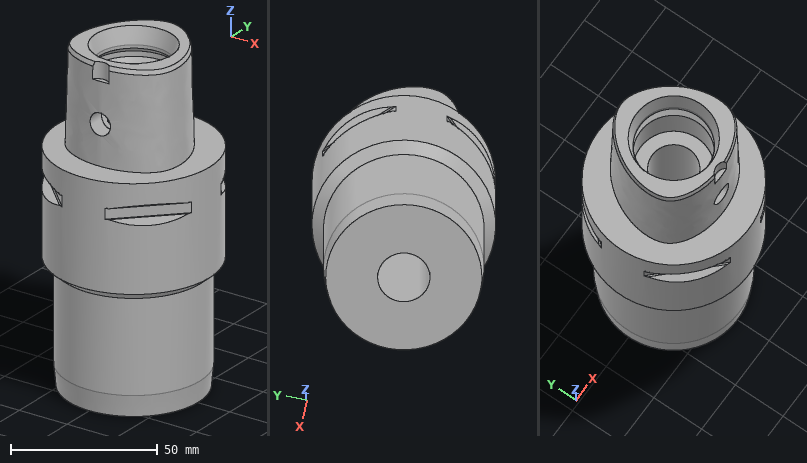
import cadquery as cq
import math

total_height = 128.0
nose_chamfer_top = 8.3
nose_top = 44.9
flange_bottom = 48.3
flange_top = 90.0

flange_radius = 31.5
nose_radius = 27.5
nose_end_radius = 26.8
through_hole_radius = 9.0

shank_radius = 22.1
lobe_height = 1.4
shank_taper = 1 / 40
shank_height = total_height - flange_top
shank_chamfer_height = 1.7
shank_chamfer_width = 0.6
outline_points = 36

mouth_radius = 15.6
bore_radius = 14.0
groove_radius = 15.9
mouth_depth = 6.5
land_depth = 7.8
groove_bottom_depth = 11.8
bore_depth = 28.2
groove_chamfer = groove_radius - bore_radius

side_hole_radius = 4.2
side_hole_level = 105.6
notch_radius = 4.2
notch_inner_y = -17.9
notch_depth = 6.4

slot_count = 4
slot_level = 78.0
slot_floor_width = 4.1
slot_floor_distance = 27.6
slot_wall_distance = 28.3
slot_wall_angle = 30


def revolve_profile(points):
    """Revolve (radius, level) points about the Z axis."""
    return cq.Workplane("XZ").polyline(points).close().revolve(360, (0, 0, 0), (0, 1, 0))


def lobed_wire(radius, level):
    """Closed constant-width curve with one of its three lobes toward +Y."""

    def point(angle):
        across = radius * math.sin(angle) - lobe_height * (2 * math.sin(2 * angle) + math.sin(4 * angle))
        along = radius * math.cos(angle) + lobe_height * (2 * math.cos(2 * angle) - math.cos(4 * angle))
        return cq.Vector(across, along, level)

    points = [point(2 * math.pi * i / outline_points) for i in range(outline_points)]
    return cq.Wire.assembleEdges([cq.Edge.makeSpline(points, periodic=True)])


def make_body():
    return revolve_profile([
        (0, 0),
        (nose_end_radius, 0),
        (nose_radius, nose_chamfer_top),
        (nose_radius, nose_top),
        (flange_radius, flange_bottom),
        (flange_radius, flange_top),
        (0, flange_top),
    ])


def make_shank():
    chamfer_level = total_height - shank_chamfer_height
    chamfer_radius = shank_radius - shank_taper * (shank_height - shank_chamfer_height)
    top_radius = chamfer_radius - shank_chamfer_width
    wires = [
        lobed_wire(shank_radius, flange_top),
        lobed_wire(chamfer_radius, chamfer_level),
        lobed_wire(top_radius, total_height),
    ]
    return cq.Workplane(obj=cq.Solid.makeLoft(wires, True))


def make_bore():
    """Conical mouth, short land, undercut groove, straight bore and narrower through hole."""
    mouth_bottom = total_height - mouth_depth
    land_bottom = total_height - land_depth
    groove_bottom = total_height - groove_bottom_depth
    bore_bottom = total_height - bore_depth
    return revolve_profile([
        (0, 0),
        (through_hole_radius, 0),
        (through_hole_radius, bore_bottom),
        (bore_radius, bore_bottom),
        (bore_radius, groove_bottom - groove_chamfer),
        (groove_radius, groove_bottom),
        (groove_radius, land_bottom - groove_chamfer),
        (bore_radius, land_bottom),
        (bore_radius, mouth_bottom),
        (mouth_radius, total_height),
        (0, total_height),
    ])


def make_side_hole():
    """Radial hole from the -Y face of the shank into the bore."""
    return (
        cq.Workplane("XZ", origin=(0, 0, side_hole_level))
        .circle(side_hole_radius)
        .extrude(flange_radius)
    )


def make_notch():
    return (
        cq.Workplane("XY", origin=(0, notch_inner_y - notch_radius, total_height - notch_depth))
        .circle(notch_radius)
        .extrude(notch_depth)
    )


def make_slot():
    """Flat-floored slot with short straight walls that flare outward, cut from the +X side."""
    half_floor = slot_floor_width / 2
    flare = (flange_radius - slot_wall_distance) * math.tan(math.radians(slot_wall_angle))
    return (
        cq.Workplane("XZ", origin=(0, 0, slot_level))
        .polyline([
            (slot_floor_distance, -half_floor),
            (slot_wall_distance, -half_floor),
            (flange_radius, -half_floor - flare),
            (flange_radius, half_floor + flare),
            (slot_wall_distance, half_floor),
            (slot_floor_distance, half_floor),
        ])
        .close()
        .extrude(flange_radius, both=True)
    )


result = make_body().union(make_shank())
result = result.cut(make_bore()).cut(make_side_hole()).cut(make_notch())

slot_spacing = 360 / slot_count
for index in range(slot_count):
    slot_angle = (index + 0.5) * slot_spacing
    result = result.cut(make_slot().rotate((0, 0, 0), (0, 0, 1), slot_angle))